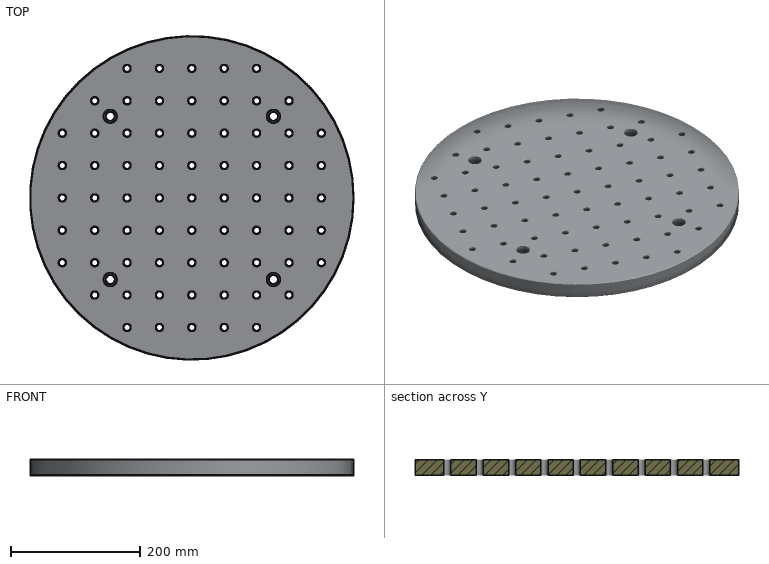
import cadquery as cq
import math

plate_diameter = 500.38
plate_thickness = 25.0
rim_chamfer = 1.0

grid_pitch = 50.0
grid_reach = 4
grid_limit_radius = 225.0
grid_hole_diameter = 10.2
grid_mouth_diameter = 12.0
grid_mouth_angle = 90.0

mounting_spacing = 252.0
mounting_hole_diameter = 13.5
counterbore_diameter = 21.0
counterbore_depth = 16.0


def make_plate():
    """Disc with chamfered top and bottom rims."""
    disc = cq.Workplane("XY").circle(plate_diameter / 2).extrude(plate_thickness)
    return disc.edges("%CIRCLE").chamfer(rim_chamfer)


def grid_points():
    """Grid positions that lie inside the limiting radius."""
    steps = range(-grid_reach, grid_reach + 1)
    points = [(column * grid_pitch, row * grid_pitch) for row in steps for column in steps]
    return [(x, y) for x, y in points if math.hypot(x, y) <= grid_limit_radius]


def cut_grid_holes(plate):
    """Through holes with a conical chamfer at the top."""
    return (
        plate.faces(">Z")
        .workplane(origin=(0, 0, plate_thickness))
        .pushPoints(grid_points())
        .cskHole(grid_hole_diameter, grid_mouth_diameter, grid_mouth_angle)
    )


def cut_mounting_holes(plate):
    """Four through holes counterbored from the top."""
    return (
        plate.faces(">Z")
        .workplane(origin=(0, 0, plate_thickness))
        .rect(mounting_spacing, mounting_spacing, forConstruction=True)
        .vertices()
        .cboreHole(mounting_hole_diameter, counterbore_diameter, counterbore_depth)
    )


result = cut_mounting_holes(cut_grid_holes(make_plate()))